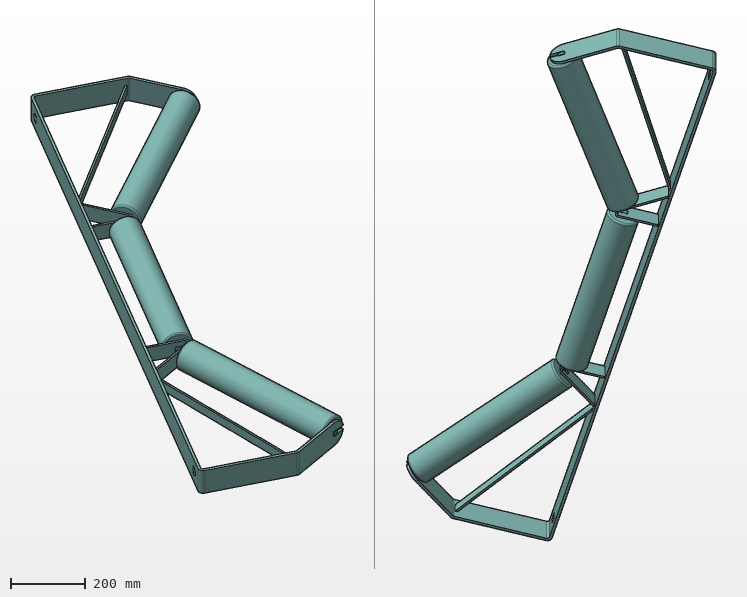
import cadquery as cq
import math

frame_width = 80
bracket_width = 50
frame_thickness = 8
bracket_thickness = 6
frame_bend_radius = 6
bracket_bend_radius = 3

roller_diameter = 89
roller_length = 500
roller_end_fillet = 5
roller_gap = 4
axle_diameter = 20
axle_flat_width = 14
trough_angle = 35
middle_roller_y = 102
side_roller_x = 493
side_roller_y = 257.3

frame_length = 1600
arm_reach = 32
hole_centre_x = 753
hole_height = 24
hole_width = 21

bracket_top_y = 128

brace_width = 30
brace_thickness = 6
brace_wall_y = 265
brace_foot_x = 373

carrier_face = roller_length / 2 + roller_gap
arm_distance = carrier_face + frame_thickness / 2
leg_distance = carrier_face + bracket_thickness / 2
axle_half_length = carrier_face + bracket_thickness
base_y = frame_thickness / 2
base_top_y = frame_thickness
cutter_depth = 3 * frame_thickness
wall_x = frame_length / 2 - frame_thickness / 2

tilt = math.radians(trough_angle)
axis_dir = (math.cos(tilt), math.sin(tilt))
arm_dir = (-math.sin(tilt), math.cos(tilt))


def side_point(along_axis, along_arm):
    """XY point given from the right-hand roller centre along its axis and along its arm."""
    return (
        side_roller_x + along_axis * axis_dir[0] + along_arm * arm_dir[0],
        side_roller_y + along_axis * axis_dir[1] + along_arm * arm_dir[1],
    )


def mirrored(solid):
    return solid.mirror("YZ")


def offset_path(path, distance):
    """Mitred parallel of an open path, on its left for a positive distance."""
    headings = [math.atan2(b[1] - a[1], b[0] - a[0]) for a, b in zip(path, path[1:])]
    headings = [headings[0]] + headings + [headings[-1]]
    points = []
    for (x, y), before, after in zip(path, headings, headings[1:]):
        half_turn = math.remainder(after - before, 2 * math.pi) / 2
        mitre = distance / math.cos(half_turn)
        normal = before + half_turn + math.pi / 2
        points.append((x + mitre * math.cos(normal), y + mitre * math.sin(normal)))
    return points


def bent_strip(path, thickness, width, bend_radius):
    """Flat bar bent along a path, with concentric inside and outside bend radii."""
    left = offset_path(path, thickness / 2)
    right = offset_path(path, -thickness / 2)
    strip = cq.Workplane("XY").polyline(left + right[::-1]).close().extrude(width / 2, both=True)
    for i in range(1, len(path) - 1):
        inside, outside = sorted((left[i], right[i]), key=lambda p: math.dist(p, path[i - 1]))
        for corner, radius in ((inside, bend_radius), (outside, bend_radius + thickness)):
            bend_edge = cq.selectors.NearestToPointSelector((*corner, 0))
            strip = strip.edges("|Z").edges(bend_edge).fillet(radius)
    return strip


def flatted_rod(length):
    """Rod along X centred on the origin, with flats facing up and down."""
    rod = cq.Workplane("YZ", origin=(-length / 2, 0, 0)).circle(axle_diameter / 2).extrude(length)
    return rod.intersect(cq.Workplane("XY").box(length, axle_diameter, axle_flat_width))


def roller():
    """Roller along X at the origin, with flats on the axle ends."""
    end_plane = cq.Workplane("YZ", origin=(-roller_length / 2, 0, 0))
    barrel = end_plane.circle(roller_diameter / 2).extrude(roller_length)
    barrel = barrel.faces("<X or >X").edges().fillet(roller_end_fillet)
    axle = flatted_rod(2 * axle_half_length)
    return barrel.union(axle)


def side_placed(shape):
    """Moves a shape from the middle-roller axes to the right-hand roller axes."""
    return shape.rotate((0, 0, 0), (0, 0, 1), trough_angle).translate((side_roller_x, side_roller_y, 0))


def axle_slot(along_axis):
    """Open slot cutter around the axle end, in the roller's own axes."""
    seat = flatted_rod(cutter_depth)
    throat = cq.Workplane("XY").box(cutter_depth, frame_width, axle_flat_width, centered=(True, False, True))
    return seat.union(throat).translate((along_axis, 0, 0))


def arm_tip_cutter():
    """Leaves a half-round tip on the right-hand arm, in the roller's own axes."""
    tip_radius = frame_width / 2
    centre_y = arm_reach - tip_radius
    block_height = 2 * frame_width
    corner_block = cq.Workplane("XY").box(cutter_depth, frame_width, block_height, centered=(True, False, True))
    corner_block = corner_block.translate((0, centre_y, 0))
    tip = cq.Workplane("YZ").circle(tip_radius).extrude(cutter_depth, both=True).translate((0, centre_y, 0))
    return corner_block.cut(tip).translate((arm_distance, 0, 0))


def frame():
    """Base bar, side walls and leaning arms bent from one strip."""
    arm_tip = side_point(arm_distance, arm_reach)
    wall_top_y = arm_tip[1] - (wall_x - arm_tip[0]) / math.tan(tilt)
    right_half = [(wall_x, base_y), (wall_x, wall_top_y), arm_tip]
    left_half = [(-x, y) for x, y in reversed(right_half)]
    body = bent_strip(left_half + right_half, frame_thickness, frame_width, frame_bend_radius)

    arm_cut = side_placed(axle_slot(arm_distance).union(arm_tip_cutter()))
    hole = mounting_hole()
    for cutter in (arm_cut, hole):
        body = body.cut(cutter).cut(mirrored(cutter))
    return body


def mounting_hole():
    """D-shaped hole through the base bar, its round side facing the frame end."""
    flat_x = hole_centre_x - hole_width / 2
    round_x = flat_x + hole_width
    arc_start_x = round_x - hole_height / 2
    return (
        cq.Workplane("XZ")
        .moveTo(flat_x, -hole_height / 2)
        .lineTo(arc_start_x, -hole_height / 2)
        .threePointArc((round_x, 0), (arc_start_x, hole_height / 2))
        .lineTo(flat_x, hole_height / 2)
        .close()
        .extrude(-frame_thickness)
    )


def bracket():
    """Right-hand bracket carrying the middle roller and the low end of the side roller."""
    top_y = bracket_top_y - bracket_thickness / 2
    low_end = side_point(-leg_distance, 0)

    def leaning_x(y):
        return low_end[0] - (y - low_end[1]) * math.tan(tilt)

    foot_y = base_top_y - bracket_thickness
    path = [
        (leg_distance, base_top_y),
        (leg_distance, top_y),
        (leaning_x(top_y), top_y),
        (leaning_x(foot_y), foot_y),
    ]
    body = bent_strip(path, bracket_thickness, bracket_width, bracket_bend_radius)
    below_base = cq.Workplane("XY").box(frame_length, 2 * base_top_y, frame_width)
    body = body.cut(below_base)
    middle_slot = axle_slot(leg_distance).translate((0, middle_roller_y, 0))
    return body.cut(middle_slot).cut(side_placed(axle_slot(-leg_distance)))


def brace():
    """Right-hand diagonal from the side wall down to the base bar, cut to fit both."""
    inner_wall_x = frame_length / 2 - frame_thickness
    run = inner_wall_x - brace_foot_x
    rise = brace_wall_y - base_top_y
    end_rise = brace_thickness / 2 / math.cos(math.atan2(rise, run))
    end_run = end_rise * run / rise
    return (
        cq.Workplane("XY")
        .moveTo(brace_foot_x - end_run, base_top_y)
        .lineTo(brace_foot_x + end_run, base_top_y)
        .lineTo(inner_wall_x, brace_wall_y - end_rise)
        .lineTo(inner_wall_x, brace_wall_y + end_rise)
        .close()
        .extrude(brace_width / 2, both=True)
    )


middle_roller = roller().translate((0, middle_roller_y, 0))
right_parts = [side_placed(roller()), bracket(), brace()]
left_parts = [mirrored(part) for part in right_parts]

bodies = [frame(), middle_roller] + right_parts + left_parts
result = cq.Compound.makeCompound([body.val() for body in bodies])